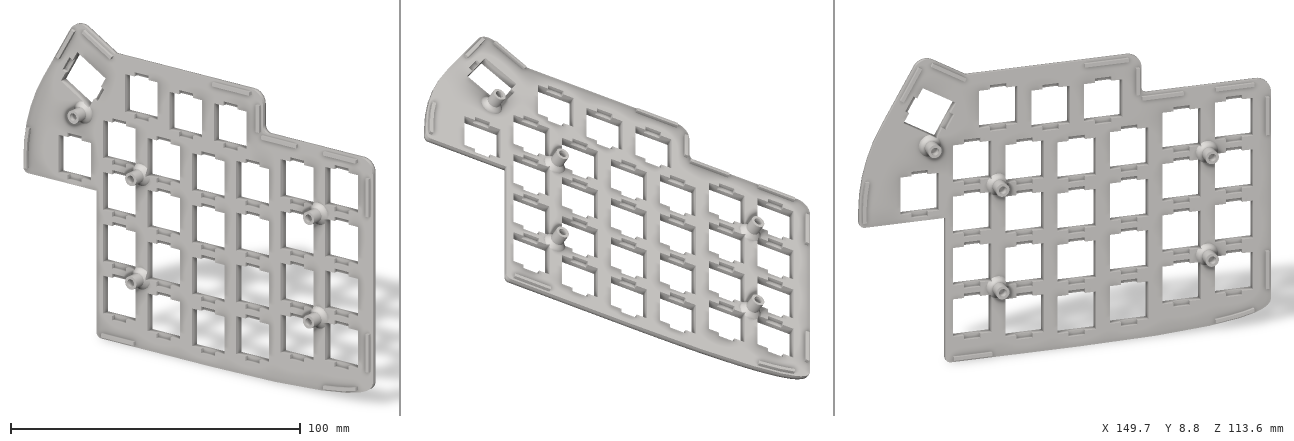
import math

import cadquery as cq


plate_thickness = 3.0
back_rounding = 2.0
plate_width = 149.72
plate_height = 113.55
left_edge = 31.3
thumb_bottom = 53.9
step_x = 102.65
step_top = 105.93
right_top = 91.0
corner_radius = 5.0
step_inner_radius = 2.5
small_radius = 2.0
thumb_arc_radius = 62.0
thumb_arc_start = 59.5
bottom_curve_start = 80.0
bottom_curve_pull_x = 57.4
bottom_curve_pull_z = 4.6
bottom_curve_rise = 9.0

thumb_angle = 30.0
along_thumb_side = (math.sin(math.radians(thumb_angle)), math.cos(math.radians(thumb_angle)))
along_thumb_top = (along_thumb_side[1], -along_thumb_side[0])

key_pitch = 19.05
opening_size = 14.0
clip_width = 6.0
clip_depth = 1.6
clip_plate_thickness = 1.5
rows = 4
first_column_x = 41.05
first_column_top_z = 73.45
column_offsets = (0.0, -2.35, -3.7, -2.35, 2.45, 3.8)
turned_key = (25.65, 93.5)
turned_key_angle = thumb_angle + 90

ridge_gap = 0.9
ridge_width = 1.3
ridge_height = 1.2
ridge_length = opening_size
step_ridge_length = 15.0
thumb_side_ridge_start = 4.2
thumb_side_ridge_length = 13.3
thumb_top_ridge_start = 5.0

standoff_diameter = 4.8
standoff_bore = 2.8
standoff_height = 5.8
standoff_foot = 1.6
thumb_standoff = (25.6, 81.4)
standoff_shift = -0.3
standoff_columns = (0, 4)
standoff_drops = (0.5, 2.5)


def offset_point(start, direction, distance):
    """Point at a distance from the start along a unit direction."""
    return (start[0] + direction[0] * distance, start[1] + direction[1] * distance)


column_x = [first_column_x + i * key_pitch for i in range(len(column_offsets))]
column_top_z = [first_column_top_z + offset for offset in column_offsets]
upper_row_levels = (0, 1, 1)
upper_row_x = [first_column_x + (i + 0.5) * key_pitch for i in range(len(upper_row_levels))]
upper_row_z = [column_top_z[column] + key_pitch for column in upper_row_levels]
thumb_key = (first_column_x - key_pitch, first_column_top_z - key_pitch / 2)

upright_keys = [thumb_key]
upright_keys += list(zip(upper_row_x, upper_row_z))
for x, top_z in zip(column_x, column_top_z):
    upright_keys += [(x, top_z - row * key_pitch) for row in range(rows)]

thumb_arc_centre = (thumb_arc_radius, thumb_arc_start)


def thumb_arc_point(angle):
    turn = math.radians(angle)
    return offset_point(thumb_arc_centre, (-math.cos(turn), math.sin(turn)), thumb_arc_radius)


thumb_side_start = thumb_arc_point(thumb_angle)
corner_reach = along_thumb_side[1] + along_thumb_side[0] - 1
thumb_corner_z = plate_height + corner_radius * corner_reach
thumb_side_length = (thumb_corner_z - thumb_side_start[1]) / along_thumb_side[1]
thumb_corner = offset_point(thumb_side_start, along_thumb_side, thumb_side_length)
thumb_top_length = (step_top - thumb_corner_z) / along_thumb_top[1]
thumb_top_end = offset_point(thumb_corner, along_thumb_top, thumb_top_length)

bottom_curve = (
    (bottom_curve_start, 0),
    (bottom_curve_start + bottom_curve_pull_x, 0),
    (plate_width, bottom_curve_rise - bottom_curve_pull_z),
    (plate_width, bottom_curve_rise),
)


def front_sketch(y=0.0):
    """Drawing plane parallel to the plate; its extrusions go towards the front (-Y)."""
    return cq.Workplane("XZ", origin=(0, y, 0))


def make_plate():
    plate = (
        front_sketch(plate_thickness)
        .moveTo(left_edge, 0)
        .lineTo(*bottom_curve[0])
        .bezier(bottom_curve[1:], includeCurrent=True)
        .lineTo(plate_width, right_top)
        .lineTo(step_x, right_top)
        .lineTo(step_x, step_top)
        .lineTo(*thumb_top_end)
        .lineTo(*thumb_corner)
        .lineTo(*thumb_side_start)
        .threePointArc(thumb_arc_point(thumb_angle / 2), thumb_arc_point(0))
        .lineTo(0, thumb_bottom)
        .lineTo(left_edge, thumb_bottom)
        .close()
        .extrude(plate_thickness)
    )
    corners = (
        ((plate_width, right_top), corner_radius),
        ((step_x, step_top), corner_radius),
        (thumb_corner, corner_radius),
        ((step_x, right_top), step_inner_radius),
        ((0, thumb_bottom), small_radius),
        ((left_edge, 0), small_radius),
    )
    for (x, z), radius in corners:
        corner_edge = cq.selectors.NearestToPointSelector((x, plate_thickness / 2, z))
        plate = plate.edges("|Y").edges(corner_edge).fillet(radius)
    return plate.faces(">Y").edges().fillet(back_rounding)


def make_standoff(x, z):
    """Post with a conical foot."""
    radius = standoff_diameter / 2
    profile = (
        cq.Workplane("XY")
        .lineTo(radius + standoff_foot, 0)
        .lineTo(radius, -standoff_foot)
        .lineTo(radius, -standoff_height)
        .lineTo(0, -standoff_height)
        .close()
    )
    return profile.revolve(360, (0, 0), (0, 1)).translate((x, 0, z))


def make_bore(x, z):
    return front_sketch().center(x, z).circle(standoff_bore / 2).extrude(standoff_height)


def make_opening(x, z, turn=0.0):
    """Square opening with a clip notch above and below, open to the front."""
    through = plate_thickness + standoff_height
    square = front_sketch(plate_thickness).rect(opening_size, opening_size).extrude(through)
    notch_span = opening_size + 2 * clip_depth
    notches_back = plate_thickness - clip_plate_thickness
    notches = front_sketch(notches_back).rect(clip_width, notch_span).extrude(notches_back)
    opening = square.union(notches).rotate((0, 0, 0), (0, 1, 0), turn)
    return opening.translate((x, 0, z))


def make_ridge(start, direction, length):
    """Straight ridge beside the rim, which runs from start along direction with the plate on its right."""
    inward = (direction[1], -direction[0])
    near = offset_point(start, inward, ridge_gap)
    far = offset_point(near, inward, ridge_width)
    corners = [near, offset_point(near, direction, length), offset_point(far, direction, length), far]
    return front_sketch().polyline(corners).close().extrude(ridge_height)


def make_thumb_arc_ridge():
    """Ridge along the rim arc, from the top of the thumb opening down to the rounded corner."""
    outer = thumb_arc_radius - ridge_gap
    inner = outer - ridge_width
    ring = front_sketch().center(*thumb_arc_centre).circle(outer).circle(inner).extrude(ridge_height)
    low = thumb_bottom + small_radius
    high = thumb_key[1] + ridge_length / 2
    window = (
        front_sketch()
        .center(0, (low + high) / 2)
        .rect(thumb_arc_radius, high - low)
        .extrude(ridge_height)
    )
    return ring.intersect(window)


def make_bottom_curve_ridge():
    """Ridge along the bottom curve, below the last column."""
    low = [(x, z + ridge_gap) for x, z in bottom_curve]
    high = [(x, z + ridge_width) for x, z in reversed(low)]
    band = (
        front_sketch()
        .moveTo(*low[0])
        .bezier(low[1:], includeCurrent=True)
        .lineTo(*high[0])
        .bezier(high[1:], includeCurrent=True)
        .close()
        .extrude(ridge_height)
    )
    window = front_sketch().center(column_x[-1], 0).rect(ridge_length, plate_height).extrude(ridge_height)
    return band.intersect(window)


def make_ridges():
    half = ridge_length / 2
    right = (1, 0)
    down = (0, -1)
    left = (-1, 0)
    last_x = column_x[-1]
    last_top_z = column_top_z[-1]
    last_bottom_z = last_top_z - (rows - 1) * key_pitch
    step_ridge_start = upper_row_x[-1] - half
    side_ridge_reach = -thumb_side_ridge_start - thumb_side_ridge_length
    side_start = offset_point(thumb_corner, along_thumb_side, side_ridge_reach)
    top_start = offset_point(thumb_corner, along_thumb_top, thumb_top_ridge_start)
    straight = (
        (side_start, along_thumb_side, thumb_side_ridge_length),
        (top_start, along_thumb_top, ridge_length),
        ((step_ridge_start, step_top), right, step_x - corner_radius - step_ridge_start),
        ((step_x, step_top - corner_radius), down, step_top - corner_radius - right_top),
        ((step_x, right_top), right, step_ridge_length),
        ((last_x - half, right_top), right, ridge_length),
        ((plate_width, last_top_z + half), down, ridge_length),
        ((plate_width, last_bottom_z + half), down, ridge_length),
        ((column_x[0] + half, 0), left, ridge_length),
    )
    ridges = [make_ridge(*ridge) for ridge in straight]
    ridges.append(make_thumb_arc_ridge())
    ridges.append(make_bottom_curve_ridge())
    return ridges


def standoff_positions():
    """The thumb standoff, and two in each of two gaps between columns."""
    positions = [thumb_standoff]
    for column in standoff_columns:
        x = column_x[column] + key_pitch / 2 + standoff_shift
        for drop in standoff_drops:
            positions.append((x, column_top_z[column] - drop * key_pitch))
    return positions


result = make_plate()
for position in standoff_positions():
    result = result.union(make_standoff(*position))
for ridge in make_ridges():
    result = result.union(ridge)
for position in upright_keys:
    result = result.cut(make_opening(*position))
result = result.cut(make_opening(*turned_key, turn=turned_key_angle))
for position in standoff_positions():
    result = result.cut(make_bore(*position))